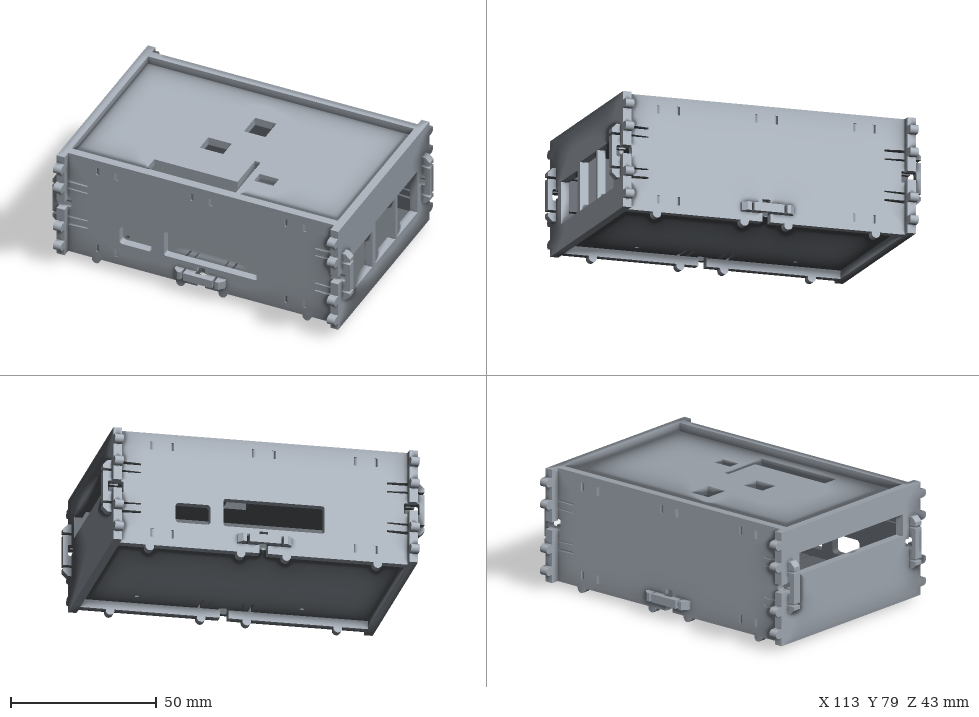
import cadquery as cq

thickness = 3.0
inner_length = 101.0
inner_width = 61.0
wall_height = 41.0
plate_inset = 3.0

outer_length = inner_length + 2 * thickness
outer_width = inner_width + 2 * thickness
mid_height = wall_height / 2
end_wall_width = outer_width + 2 * thickness

bottom_plate_base = plate_inset
top_plate_base = wall_height - plate_inset - thickness

lug_width = 3.0
lug_radius = lug_width / 2
foot_length = 2.0
side_lug_length = 3.0
lug_offset = 8.0
foot_outer_offset = 40.0
side_lug_outer_offset = 16.0

tab_width = 8.2
tab_corner_radius = 1.5
tab_spacing = 35.8

latch_width = 19.0
latch_reach = 2 * thickness
barb_chamfer = 1.7
shank_half_width = 8.4
tongue_half_width = 5.5
slit_depth = 7.3
prong_gap_tip = 1.0
prong_gap_root = 0.45
side_gap_mouth = 1.05
side_gap_root = 0.7
latch_window = (5.5, 4.0)
latch_window_radius = 0.5

notch_width = 3.0
notch_depth = 8.0

mount_pitch_x = 58.0
mount_pitch_y = 49.0
mount_centre_x = -3.0
mount_centre_y = -0.5
mount_hole_diameter = 1.5

port_sill = 9.0
front_ports = [
    (-31.0, -18.7, port_sill, 16.2, 1.3),
    (-14.1, 21.3, port_sill, 19.0, 0.8),
]

right_ports = [
    (-25.8, -9.1, 24.0),
    (-6.5, 9.3, 26.3),
    (10.9, 27.1, 26.3),
]

left_opening_width = 54.4
left_opening_bottom = 23.6
left_opening_top = 31.5

top_openings = [
    (-3.4, 4.7, 8.0, 16.9),
    (-12.9, -4.0, -7.4, -0.6),
    (12.4, 19.7, -17.3, -12.8),
]

slot_left = -24.0
slot_right = 9.8
slot_bottom = -26.4
slot_top = -6.5
slot_foot_height = 6.0
slot_leg_width = 2.2


def block(x_min, x_max, y_min, y_max, corner_radius=0):
    """Sheet-thick rectangle, with its four corners rounded if a radius is given."""
    shape = (
        cq.Workplane("XY")
        .box(x_max - x_min, y_max - y_min, thickness, centered=False)
        .translate((x_min, y_min, 0))
    )
    if corner_radius:
        shape = shape.edges("|Z").fillet(corner_radius)
    return shape


def cut_from_sheet(*points):
    """Sheet-thick polygon."""
    return cq.Workplane("XY").polyline(points).close().extrude(thickness)


def turned(shape, angle):
    return shape.rotate((0, 0, 0), (0, 0, 1), angle)


def lug(length):
    """Lug with a full round tip, pointing to +X from its root at x = 0."""
    straight = length - lug_radius
    return (
        cq.Workplane("XY")
        .moveTo(0, -lug_radius)
        .lineTo(straight, -lug_radius)
        .threePointArc((length, 0), (straight, lug_radius))
        .lineTo(0, lug_radius)
        .close()
        .extrude(thickness)
    )


def tab():
    """Plate tab pointing to +X, flush with the outer face of the wall."""
    shape = block(0, thickness, -tab_width / 2, tab_width / 2)
    return shape.edges("|Z and >X").fillet(tab_corner_radius)


def latch_head():
    """Latch blank pointing to +X from the panel edge at x = 0, narrow where it passes the wall."""
    shank = block(0, thickness, -shank_half_width, shank_half_width)
    barbs = block(thickness, latch_reach, -latch_width / 2, latch_width / 2)
    return shank.union(barbs.edges("|Z and >X").chamfer(barb_chamfer))


def latch_cuts():
    """Slits that free the prongs, and the window across the panel edge."""
    window_length, window_width = latch_window
    cuts = block(
        thickness / 2 - window_length / 2,
        thickness / 2 + window_length / 2,
        -window_width / 2,
        window_width / 2,
        latch_window_radius,
    )
    for side in (-1, 1):
        prong_slit = cut_from_sheet(
            (-slit_depth, side * tongue_half_width),
            (latch_reach, side * tongue_half_width),
            (latch_reach, side * (tongue_half_width + prong_gap_tip)),
            (-slit_depth, side * (tongue_half_width + prong_gap_root)),
        )
        side_slit = cut_from_sheet(
            (-slit_depth, side * shank_half_width),
            (0, side * shank_half_width),
            (0, side * (shank_half_width + side_gap_mouth)),
            (-slit_depth, side * (shank_half_width + side_gap_root)),
        )
        cuts = cuts.union(prong_slit).union(side_slit)
    return cuts


def add_latch(panel, edge_distance, angle, along=0):
    """Latch on the panel edge at the given distance and direction from the origin."""
    def place(shape):
        return turned(shape.translate((edge_distance, 0, 0)), angle).translate((0, along, 0))

    return panel.union(place(latch_head())).cut(place(latch_cuts()))


def plate(tab_positions):
    body = block(-inner_length / 2, inner_length / 2, -inner_width / 2, inner_width / 2)
    for x in tab_positions:
        for side in (-1, 1):
            placed_tab = turned(tab(), 90 * side).translate((x, side * inner_width / 2, 0))
            body = body.union(placed_tab)
    return body


def make_bottom_plate():
    body = plate((-tab_spacing, tab_spacing))
    for angle in (-90, 90):
        body = add_latch(body, inner_width / 2, angle)
    mount_holes = (
        cq.Workplane("XY")
        .center(mount_centre_x, mount_centre_y)
        .rarray(mount_pitch_x, mount_pitch_y, 2, 2)
        .circle(mount_hole_diameter / 2)
        .extrude(thickness)
    )
    return body.cut(mount_holes)


def make_top_plate():
    body = plate((-tab_spacing, 0, tab_spacing))
    for opening in top_openings:
        body = body.cut(block(*opening))
    l_slot = cut_from_sheet(
        (slot_left, slot_bottom),
        (slot_right, slot_bottom),
        (slot_right, slot_top),
        (slot_right - slot_leg_width, slot_top),
        (slot_right - slot_leg_width, slot_bottom + slot_foot_height),
        (slot_left, slot_bottom + slot_foot_height),
    )
    return body.cut(l_slot)


def make_long_wall(ports=()):
    body = block(-inner_length / 2, inner_length / 2, 0, wall_height)

    foot = turned(lug(foot_length), -90)
    for x in (-foot_outer_offset, -lug_offset, lug_offset, foot_outer_offset):
        body = body.union(foot.translate((x, 0, 0)))

    for angle in (0, 180):
        body = add_latch(body, inner_length / 2, angle, along=mid_height)

    tab_slot = block(-tab_width / 2, tab_width / 2, 0, thickness)
    for x in (-tab_spacing, 0, tab_spacing):
        body = body.cut(tab_slot.translate((x, top_plate_base, 0)))
    for x in (-tab_spacing, tab_spacing):
        body = body.cut(tab_slot.translate((x, bottom_plate_base, 0)))

    latch_slot = block(
        -shank_half_width, shank_half_width, bottom_plate_base, bottom_plate_base + thickness
    )
    notch = block(-notch_width / 2, notch_width / 2, 0, notch_depth)
    body = body.cut(latch_slot).cut(notch)

    for port in ports:
        body = body.cut(block(*port))
    return body


def make_end_wall():
    half_width = end_wall_width / 2
    body = block(-half_width, half_width, 0, wall_height)
    lug_heights = [
        mid_height + offset
        for offset in (-side_lug_outer_offset, -lug_offset, lug_offset, side_lug_outer_offset)
    ]
    for angle in (0, 180):
        for z in lug_heights:
            placed_lug = turned(lug(side_lug_length).translate((half_width, 0, 0)), angle)
            body = body.union(placed_lug.translate((0, z, 0)))

        latch_slot = block(inner_width / 2, outer_width / 2, -shank_half_width, shank_half_width)
        notch = block(half_width - notch_depth, half_width, -notch_width / 2, notch_width / 2)
        openings = turned(latch_slot.union(notch), angle)
        body = body.cut(openings.translate((0, mid_height, 0)))
    return body


def make_left_wall():
    half_opening = left_opening_width / 2
    return make_end_wall().cut(
        block(-half_opening, half_opening, left_opening_bottom, left_opening_top)
    )


def make_right_wall():
    body = make_end_wall()
    for y_min, y_max, z_max in right_ports:
        body = body.cut(block(y_min, y_max, port_sill, z_max))
    return body


def lay_flat(panel, base_z):
    """Place a flat panel with its lower face at the given height."""
    return panel.solids().val().moved(cq.Location(cq.Vector(0, 0, base_z)))


def stand_along_x(panel, inner_face_y):
    """Stand a flat panel up along X, filling the sheet thickness towards -Y."""
    plane = cq.Plane(origin=(0, inner_face_y, 0), xDir=(1, 0, 0), normal=(0, -1, 0))
    return panel.solids().val().moved(cq.Location(plane))


def stand_along_y(panel, low_face_x):
    """Stand a flat panel up along Y, filling the sheet thickness towards +X."""
    plane = cq.Plane(origin=(low_face_x, 0, 0), xDir=(0, 1, 0), normal=(1, 0, 0))
    return panel.solids().val().moved(cq.Location(plane))


bottom_plate = lay_flat(make_bottom_plate(), bottom_plate_base)
top_plate = lay_flat(make_top_plate(), top_plate_base)
front_wall = stand_along_x(make_long_wall(front_ports), -inner_width / 2)
back_wall = stand_along_x(make_long_wall(), outer_width / 2)
left_wall = stand_along_y(make_left_wall(), -outer_length / 2)
right_wall = stand_along_y(make_right_wall(), inner_length / 2)

result = cq.Compound.makeCompound(
    [bottom_plate, top_plate, front_wall, back_wall, left_wall, right_wall]
)